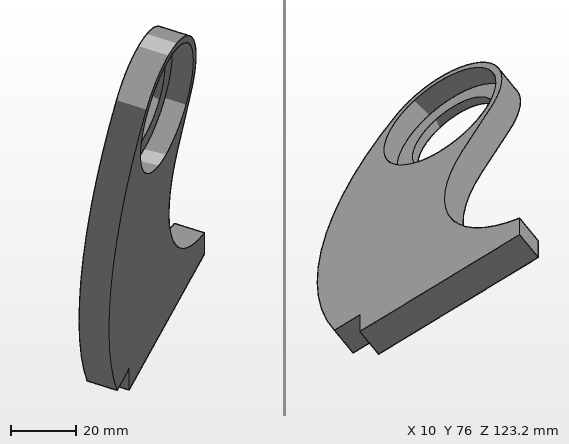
import cadquery as cq
import math

thickness = 10.0
height = 123.2
depth = 76.0
foot_length = 60.0
foot_height = 10.0
eye_radius = 23.3
eye_y = 46.1
hole_diameter = 30.5
lip_thickness = 3.0
bore_diameter = 42.0
back_radius = 100.0
throat_radius = 40.5
throat_y = 88.3


def point_on_circle(center, radius, angle):
    return (center[0] + radius * math.cos(angle), center[1] + radius * math.sin(angle))


def angle_between(start, end):
    return math.atan2(end[1] - start[1], end[0] - start[0])


eye_center = (eye_y, height - eye_radius)

back_y = back_radius
back_rise = math.sqrt((back_radius - eye_radius) ** 2 - (back_y - eye_y) ** 2)
back_center = (back_y, eye_center[1] - back_rise)
eye_back_tangent = point_on_circle(
    eye_center, eye_radius, angle_between(back_center, eye_center)
)
back_drop = back_center[1] - foot_height
back_end = (back_y - math.sqrt(back_radius ** 2 - back_drop ** 2), foot_height)
back_middle = (0, back_center[1])

throat_rise = math.sqrt(throat_radius ** 2 - (depth - throat_y) ** 2)
throat_center = (throat_y, foot_height + throat_rise)
throat_middle = (throat_y - throat_radius, throat_center[1])

center_distance = math.dist(eye_center, throat_center)
tangent_angle = angle_between(eye_center, throat_center) + math.acos(
    (eye_radius + throat_radius) / center_distance
)
eye_line_tangent = point_on_circle(eye_center, eye_radius, tangent_angle)
throat_line_tangent = point_on_circle(throat_center, throat_radius, tangent_angle + math.pi)
eye_top = (eye_y, height)

outline = (
    cq.Workplane("YZ")
    .moveTo(depth, 0)
    .lineTo(depth - foot_length, 0)
    .lineTo(depth - foot_length, foot_height)
    .lineTo(*back_end)
    .threePointArc(back_middle, eye_back_tangent)
    .threePointArc(eye_top, eye_line_tangent)
    .lineTo(*throat_line_tangent)
    .threePointArc(throat_middle, (depth, foot_height))
    .close()
)
plate = outline.extrude(thickness)

eye_hole = (
    cq.Workplane("YZ").center(*eye_center).circle(hole_diameter / 2).extrude(thickness)
)
bore = (
    cq.Workplane("YZ", origin=(lip_thickness, 0, 0))
    .center(*eye_center)
    .circle(bore_diameter / 2)
    .extrude(thickness - lip_thickness)
)

result = plate.cut(eye_hole).cut(bore)